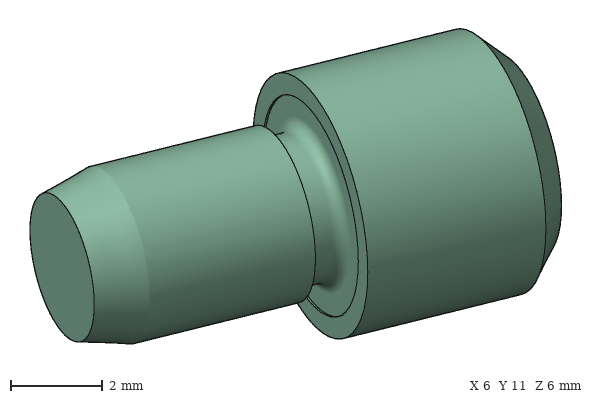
import cadquery as cq
import math

total_length = 11.0
head_length = 5.0
head_diameter = 6.0
head_chamfer = 0.7

recess_diameter = 5.0
recess_depth = 0.05

neck_diameter = 3.4
neck_length = 0.8
neck_fillet = 0.3

shank_diameter = 4.0
taper_length = 1.2
taper_angle = 15.0

head_radius = head_diameter / 2
recess_radius = recess_diameter / 2
neck_radius = neck_diameter / 2
shank_radius = shank_diameter / 2
tip_radius = shank_radius - taper_length * math.tan(math.radians(taper_angle))

head_end = head_length
tip_end = head_length - total_length
shank_start = -neck_length
taper_start = tip_end + taper_length
fillet_start = recess_depth - neck_fillet

fillet_center_radius = neck_radius + neck_fillet
fillet_offset = neck_fillet * math.sqrt(0.5)
fillet_middle = (fillet_center_radius - fillet_offset, fillet_start + fillet_offset)

profile = (
    cq.Workplane("XY")
    .moveTo(0, tip_end)
    .lineTo(tip_radius, tip_end)
    .lineTo(shank_radius, taper_start)
    .lineTo(shank_radius, shank_start)
    .lineTo(neck_radius, shank_start)
    .lineTo(neck_radius, fillet_start)
    .threePointArc(fillet_middle, (fillet_center_radius, recess_depth))
    .lineTo(recess_radius, recess_depth)
    .lineTo(recess_radius, 0)
    .lineTo(head_radius, 0)
    .lineTo(head_radius, head_end - head_chamfer)
    .lineTo(head_radius - head_chamfer, head_end)
    .lineTo(0, head_end)
    .close()
)

result = profile.revolve(360, (0, 0, 0), (0, 1, 0))